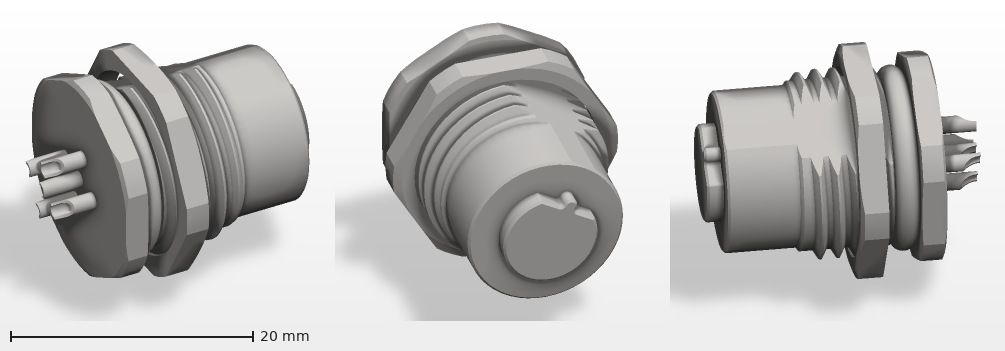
import cadquery as cq
import math


flange_across_flats = 16.88
flange_corner_radius = 9.0
flange_thickness = 2.07
flange_rear_face_radius = 8.57
flange_rear_chamfer = 0.22
flange_front_face_radius = 8.5
flange_front_chamfer = 0.08

ring_section_radius = 1.0
ring_outer_radius = 7.71
groove_radius = 6.48

thread_bottom = 4.25
thread_top = 11.71
pitch = 1.5
root_radius = 7.07
major_radius = 7.86
crest_width = 0.17
flank_half_angle = math.radians(30)
thread_start_angle = 270
thread_start = 4.65
full_turns = 4
fade_turns = 0.5
thread_embed = 0.1
samples_per_turn = 24

barrel_radius = 6.73
barrel_end = 18.0
barrel_edge_chamfer = 0.2
shoulder_length = 0.26

key_angle = 120
key_flat_distance = 6.63

insert_radius = 4.08
insert_end = 19.37
insert_chamfer = 0.2
insert_flat_distance = 3.1
insert_corner_fillet = 0.25
rib_radius = 0.6
rib_centre_distance = 3.47
rib_root_fillet = 0.28

pin_length = 3.63
pin_radius = 0.715
pin_circle_radius = 2.5
cup_bore_radius = 0.51
cup_bore_depth = 2.2
cup_floor_offset = 0.19
cup_cut_radius = 1.82
pins_and_cut_angles = [
    (key_angle - 45, key_angle - 90),
    (key_angle + 45, key_angle + 90),
    (key_angle + 135, key_angle + 90),
    (key_angle - 135, key_angle - 90),
]

nut_across_flats = 18.02
nut_corner_radius = 9.74
nut_rear = 5.0
nut_thickness = 2.27
nut_face_radius = 9.05
nut_chamfer = 0.24
nut_bore_radius = 7.95


def rotated_from_x(shape, world_angle):
    """Turn a shape built along local +X to an angle measured from world +X towards world +Z."""
    return shape.rotate((0, 0, 0), (0, 0, 1), -world_angle)


def cylinder(radius, bottom, top):
    return cq.Workplane("XY").workplane(offset=bottom).circle(radius).extrude(top - bottom)


def revolved(points):
    """Solid of revolution about Z from (radius, height) points."""
    return cq.Workplane("XZ").polyline(points).close().revolve(360, (0, 0), (0, 1))


def hexagon(across_flats, bottom, thickness):
    corner_diameter = across_flats / math.cos(math.radians(30))
    return cq.Workplane("XY").workplane(offset=bottom).polygon(6, corner_diameter).extrude(thickness)


def make_flange():
    envelope = revolved([
        (0, 0),
        (flange_rear_face_radius, 0),
        (flange_corner_radius, flange_rear_chamfer),
        (flange_corner_radius, flange_thickness - flange_front_chamfer),
        (flange_front_face_radius, flange_thickness),
        (0, flange_thickness),
    ])
    turned_hexagon = hexagon(flange_across_flats, 0, flange_thickness).rotate((0, 0, 0), (0, 0, 1), 30)
    return turned_hexagon.intersect(envelope)


def make_ring():
    centre_radius = ring_outer_radius - ring_section_radius
    return (
        cq.Workplane("XZ")
        .center(centre_radius, flange_thickness + ring_section_radius)
        .circle(ring_section_radius)
        .revolve(360, (-centre_radius, 0), (-centre_radius, 1))
    )


def spiral(start_radius, end_radius, turns, lift):
    """Right-handed helix edge whose radius runs evenly from start_radius to end_radius."""

    def point(t):
        angle = 2 * math.pi * turns * t
        radius = start_radius + (end_radius - start_radius) * t
        return (radius * math.cos(angle), radius * math.sin(angle), lift + pitch * turns * t)

    samples = max(2, round(samples_per_turn * turns))
    return cq.Workplane("XY").parametricCurve(point, N=samples, makeWire=False).val()


def tooth_segment(turns, start_crest, end_crest):
    """Stretch of thread tooth whose crest radius runs evenly from start_crest to end_crest."""
    base_radius = root_radius - thread_embed
    crest_half = crest_width / 2
    base_half = crest_half + (major_radius - base_radius) * math.tan(flank_half_angle)
    edges = [
        spiral(base_radius, base_radius, turns, -base_half),
        spiral(start_crest, end_crest, turns, -crest_half),
        spiral(start_crest, end_crest, turns, crest_half),
        spiral(base_radius, base_radius, turns, base_half),
    ]
    faces = [cq.Face.makeRuledSurface(a, b) for a, b in zip(edges, edges[1:] + edges[:1])]
    for end in (0, 1):
        corners = [edge.positionAt(end) for edge in edges]
        faces.append(cq.Face.makeFromWires(cq.Wire.makePolygon(corners, close=True)))
    return cq.Workplane(cq.Solid.makeSolid(cq.Shell.makeShell(faces)))


def make_thread():
    """Root cylinder with a right-hand tooth that fades into it at both ends."""
    sunk = root_radius - thread_embed / 2
    full = tooth_segment(full_turns, major_radius, major_radius)
    fade = tooth_segment(fade_turns, major_radius, sunk)
    upper_fade = fade.translate((0, 0, full_turns * pitch))
    lower_fade = fade.rotate((0, 0, 0), (1, 0, 0), 180)
    thread = cylinder(root_radius, thread_bottom, thread_top)
    for segment in (full, upper_fade, lower_fade):
        placed = segment.rotate((0, 0, 0), (0, 0, 1), thread_start_angle).translate((0, 0, thread_start))
        thread = thread.union(placed)
    return thread.cut(cylinder(major_radius + pitch, 0, thread_bottom))


def make_barrel():
    """Groove floor, barrel and the sloping shoulder between barrel and thread."""
    shoulder_top = thread_top + shoulder_length
    return revolved([
        (0, 0),
        (groove_radius, 0),
        (groove_radius, thread_top),
        (root_radius, thread_top),
        (barrel_radius, shoulder_top),
        (barrel_radius, barrel_end - barrel_edge_chamfer),
        (barrel_radius - barrel_edge_chamfer, barrel_end),
        (0, barrel_end),
    ])


def key_flat_cutter():
    """Material outside the flat, over the thread and the barrel."""
    length = barrel_end - thread_bottom
    cutter = (
        cq.Workplane("XY")
        .box(major_radius, 2 * major_radius, length, centered=(False, True, False))
        .translate((key_flat_distance, 0, thread_bottom))
    )
    return rotated_from_x(cutter, key_angle)


def make_insert():
    """Round contact insert with one flattened side that carries a rounded key rib."""
    height = insert_end - barrel_end
    flat_cutter = (
        cq.Workplane("XY")
        .box(insert_radius, 2 * insert_radius, height, centered=(False, True, False))
        .translate((insert_flat_distance, 0, 0))
    )
    disc = cq.Workplane("XY").circle(insert_radius).extrude(height).cut(flat_cutter)
    disc = disc.edges("|Z and >X").fillet(insert_corner_fillet)
    rib = (
        cq.Workplane("XY")
        .rect(2 * rib_centre_distance, 2 * rib_radius)
        .extrude(height)
        .union(cq.Workplane("XY").center(rib_centre_distance, 0).circle(rib_radius).extrude(height))
    )
    rib_root = cq.selectors.BoxSelector(
        (insert_flat_distance - rib_root_fillet, -insert_radius / 2, 0),
        (insert_flat_distance + rib_root_fillet / 2, insert_radius / 2, height),
    )
    insert = disc.union(rib).edges("|Z").edges(rib_root).fillet(rib_root_fillet)
    insert = insert.faces(">Z").chamfer(insert_chamfer)
    return rotated_from_x(insert.translate((0, 0, barrel_end)), key_angle)


def make_pin(cut_angle):
    """Solder pin with a bored cup, opened by a cylindrical cut facing cut_angle."""
    pin = cylinder(pin_radius, -pin_length, 0)
    bore = cylinder(cup_bore_radius, -pin_length, cup_bore_depth - pin_length)
    cut = (
        cq.Workplane("XZ")
        .center(cup_cut_radius - cup_floor_offset, -pin_length)
        .circle(cup_cut_radius)
        .extrude(pin_radius, both=True)
    )
    return rotated_from_x(pin.cut(bore).cut(cut), cut_angle)


def make_connector():
    body = make_thread().union(make_barrel()).cut(key_flat_cutter())
    body = body.union(make_flange()).union(make_ring()).union(make_insert())
    for position_angle, cut_angle in pins_and_cut_angles:
        pin = make_pin(cut_angle)
        angle = math.radians(position_angle)
        body = body.union(pin.translate((
            pin_circle_radius * math.cos(angle), -pin_circle_radius * math.sin(angle), 0
        )))
    return body.union(make_pin(key_angle + 90))


def make_nut():
    """Hexagon nut with a plain bore that runs just clear of the thread crests."""
    nut_front = nut_rear + nut_thickness
    envelope = revolved([
        (0, nut_rear),
        (nut_corner_radius, nut_rear),
        (nut_corner_radius, nut_front - nut_chamfer),
        (nut_face_radius, nut_front),
        (0, nut_front),
    ])
    nut = hexagon(nut_across_flats, nut_rear, nut_thickness).intersect(envelope)
    return nut.cut(cylinder(nut_bore_radius, nut_rear, nut_front))


def onto_world_axis(shape):
    return shape.rotate((0, 0, 0), (1, 0, 0), -90)


connector = onto_world_axis(make_connector())
nut = onto_world_axis(make_nut())
result = cq.Compound.makeCompound([connector.solids().val(), nut.solids().val()])